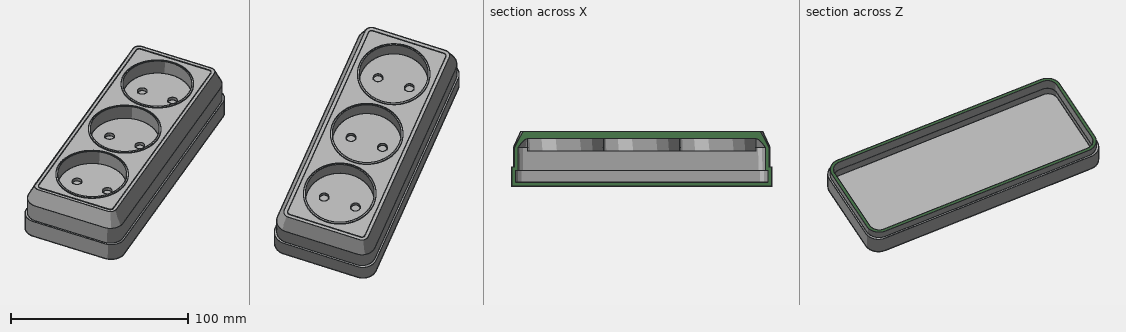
import cadquery as cq

length = 147.0
width = 61.0
height = 31.0
base_height = 11.0
shoulder_height = 22.0
base_corner_radius = 8.1
ledge = 1.0
cap_corner_radius = 8.0
shoulder_inset = 4.1

wall_thickness = 2.0
bottom_thickness = 2.5

border = 2.0
panel_depth = 0.5
panel_corner_radius = 1.9

socket_count = 3
socket_pitch = 43.0
socket_diameter = 39.0
collar_diameter = 41.0
cup_diameter = 42.8
socket_depth = 9.0
cup_floor_thickness = 2.0
pin_hole_diameter = 5.5
pin_hole_spacing = 19.0

cap_width = width - 2 * ledge
cap_length = length - 2 * ledge
top_width = cap_width - 2 * shoulder_inset
top_length = cap_length - 2 * shoulder_inset
top_corner_radius = cap_corner_radius - shoulder_inset
panel_width = top_width - 2 * border
panel_length = top_length - 2 * border
panel_level = height - panel_depth
socket_floor = height - socket_depth
cup_bottom = socket_floor - cup_floor_thickness

middle = (socket_count - 1) / 2
socket_centers = [(0, (i - middle) * socket_pitch) for i in range(socket_count)]
pin_centers = [(side * pin_hole_spacing / 2, y) for _, y in socket_centers for side in (-1, 1)]


def rounded_rectangle(x_size, y_size, radius):
    """Rounded rectangle centred on the origin."""
    return cq.Sketch().rect(x_size, y_size).vertices().fillet(radius)


def block(outline, bottom, top):
    """Straight-sided block between two heights."""
    return cq.Workplane("XY").workplane(offset=bottom).placeSketch(outline).extrude(top - bottom)


def tapered_block(lower, upper, bottom, top):
    """Block whose sides slope from the lower outline to the upper one."""
    raised = upper.moved(cq.Location(cq.Vector(0, 0, top - bottom)))
    return cq.Workplane("XY").workplane(offset=bottom).placeSketch(lower, raised).loft()


def cylinders(diameter, bottom, top, centers):
    """Upright cylinders between two heights, one at each centre."""
    plane = cq.Workplane("XY").workplane(offset=bottom)
    return plane.pushPoints(centers).circle(diameter / 2).extrude(top - bottom)


panel_outline = rounded_rectangle(panel_width, panel_length, panel_corner_radius)


def outer_body():
    """Base block with the narrower cap on it."""
    base_outline = rounded_rectangle(width, length, base_corner_radius)
    cap_outline = rounded_rectangle(cap_width, cap_length, cap_corner_radius)
    top_outline = rounded_rectangle(top_width, top_length, top_corner_radius)
    base = block(base_outline, 0, base_height)
    cap = block(cap_outline, base_height, shoulder_height)
    shoulder = tapered_block(cap_outline, top_outline, shoulder_height, height)
    return base.union(cap).union(shoulder)


def inner_outline(x_size, y_size, radius):
    """Outline one wall thickness inside a rounded rectangle of the given size."""
    return rounded_rectangle(
        x_size - 2 * wall_thickness, y_size - 2 * wall_thickness, radius - wall_thickness
    )


def cavity():
    """Closed space between the bottom plate, the side walls and the top panel."""
    base_inside = inner_outline(width, length, base_corner_radius)
    cap_inside = inner_outline(cap_width, cap_length, cap_corner_radius)
    base_space = block(base_inside, bottom_thickness, base_height - wall_thickness)
    cap_space = block(cap_inside, bottom_thickness, shoulder_height)
    ceiling = panel_level - wall_thickness
    shoulder_space = tapered_block(cap_inside, panel_outline, shoulder_height, ceiling)
    return base_space.union(cap_space).union(shoulder_space)


result = outer_body().cut(cavity()).cut(block(panel_outline, panel_level, height))

result = result.union(cylinders(cup_diameter, cup_bottom, panel_level, socket_centers))
result = result.union(cylinders(collar_diameter, socket_floor, height, socket_centers))
result = result.cut(cylinders(socket_diameter, socket_floor, height, socket_centers))

result = result.cut(cylinders(pin_hole_diameter, cup_bottom, socket_floor, pin_centers))